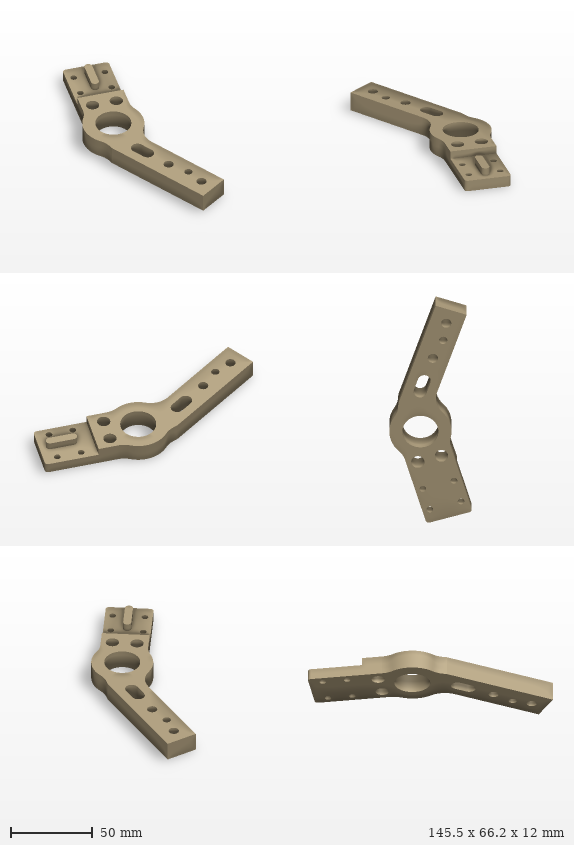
import cadquery as cq
import math

thickness = 12.0
pad_thickness = 7.0

bore_radius = 11.0
ring_radius = 19.0
blend_radius = 13.8

arm_end = 86.5
arm_width = 20.1
arm_bottom = -ring_radius
arm_top = arm_bottom + arm_width
arm_middle = arm_bottom + arm_width / 2
arm_slot_x = 30.4
arm_slot_length = 16.0
arm_slot_width = 8.0
arm_hole_positions = [51.0, 77.0]
arm_hole_diameter = 6.3
offset_hole_x = 65.0
offset_hole_rise = 2.0
offset_hole_diameter = 5.1

tilt = 35
half_width = 14.7
tilted_arm_length = 62.7
corner_radius = 2.0
step_distance = 29.0
large_hole_distance = 20.0
large_hole_spacing = 15.1
large_hole_diameter = 8.1
pad_hole_center = 46.4
pad_hole_spacing_u = 15.1
pad_hole_spacing_v = 20.0
pad_hole_diameter = 4.1
key_center = 48.66
key_length = 19.6
key_width = 5.0

flank_tilt = 15


def tilted_point(u, v, angle):
    """Convert (u, v), in axes turned clockwise by angle, to (x, y)."""
    a = math.radians(angle)
    return (u * math.cos(a) + v * math.sin(a), -u * math.sin(a) + v * math.cos(a))


def blend_points(side, edge_offset, angle):
    """Ends of the blend between the ring and a straight edge parallel to u.

    side is the sign of u at the blend; edge_offset is the edge's v.
    Returns the tangent point on the edge, then the one on the ring.
    """
    center_v = edge_offset + math.copysign(blend_radius, edge_offset)
    center_distance = ring_radius + blend_radius
    center_u = side * math.sqrt(center_distance**2 - center_v**2)
    ring_share = ring_radius / center_distance
    on_edge = tilted_point(center_u, edge_offset, angle)
    on_ring = tilted_point(center_u * ring_share, center_v * ring_share, angle)
    return on_edge, on_ring


def plate_outline():
    tilted_low_edge, tilted_low_ring = blend_points(-1, -half_width, tilt)
    tilted_high_edge, tilted_high_ring = blend_points(-1, half_width, tilt)
    arm_edge, arm_ring = blend_points(1, arm_top, 0)
    flank_edge, flank_ring = blend_points(1, -half_width, flank_tilt)
    flank = math.radians(flank_tilt)
    flank_end_x = (-arm_bottom * math.cos(flank) - half_width) / math.sin(flank)
    return (
        cq.Workplane("XY")
        .moveTo(*tilted_point(-tilted_arm_length, -half_width, tilt))
        .lineTo(*tilted_low_edge)
        .radiusArc(tilted_low_ring, blend_radius)
        .radiusArc(flank_ring, -ring_radius)
        .radiusArc(flank_edge, blend_radius)
        .lineTo(flank_end_x, arm_bottom)
        .lineTo(arm_end, arm_bottom)
        .lineTo(arm_end, arm_top)
        .lineTo(*arm_edge)
        .radiusArc(arm_ring, blend_radius)
        .radiusArc(tilted_high_ring, -ring_radius)
        .radiusArc(tilted_high_edge, blend_radius)
        .lineTo(*tilted_point(-tilted_arm_length, half_width, tilt))
        .close()
    )


def tilted_plane(height):
    """Workplane along the tilted arm, at the given height."""
    return cq.Workplane("XY").workplane(offset=height).transformed(rotate=(0, 0, -tilt))


def pad_cutter():
    """Removes the material above the pad, leaving the raised key."""
    pad_length = tilted_arm_length - step_distance
    relief_height = thickness - pad_thickness
    relief = (
        tilted_plane(pad_thickness)
        .center(-(step_distance + pad_length / 2), 0)
        .rect(pad_length, 2 * half_width)
        .extrude(relief_height)
    )
    key = (
        tilted_plane(pad_thickness)
        .center(-key_center, 0)
        .slot2D(key_length, key_width)
        .extrude(relief_height)
    )
    return relief.cut(key)


def tilted_arm_holes():
    large_holes = (
        tilted_plane(0)
        .center(-large_hole_distance, 0)
        .rarray(1.5, large_hole_spacing, 1, 2)
        .circle(large_hole_diameter / 2)
        .extrude(thickness)
    )
    pad_holes = (
        tilted_plane(0)
        .center(-pad_hole_center, 0)
        .rarray(pad_hole_spacing_u, pad_hole_spacing_v, 2, 2)
        .circle(pad_hole_diameter / 2)
        .extrude(thickness)
    )
    return large_holes.union(pad_holes)


def straight_arm_holes():
    base = cq.Workplane("XY").workplane(origin=(0, arm_middle, 0))
    slot = (
        base.center(arm_slot_x, 0)
        .slot2D(arm_slot_length, arm_slot_width)
        .extrude(thickness)
    )
    round_holes = (
        base.pushPoints([(x, 0) for x in arm_hole_positions])
        .circle(arm_hole_diameter / 2)
        .extrude(thickness)
    )
    offset_hole = (
        base.pushPoints([(offset_hole_x, offset_hole_rise)])
        .circle(offset_hole_diameter / 2)
        .extrude(thickness)
    )
    return slot.union(round_holes).union(offset_hole)


plate = plate_outline().extrude(thickness)
outer_corners = [
    cq.Vector(*tilted_point(-tilted_arm_length, v, tilt), thickness / 2)
    for v in (-half_width, half_width)
]
for corner in outer_corners:
    plate = plate.edges(cq.selectors.NearestToPointSelector(corner.toTuple())).fillet(corner_radius)

bore = cq.Workplane("XY").circle(bore_radius).extrude(thickness)
result = plate.cut(pad_cutter()).cut(bore).cut(tilted_arm_holes()).cut(straight_arm_holes())